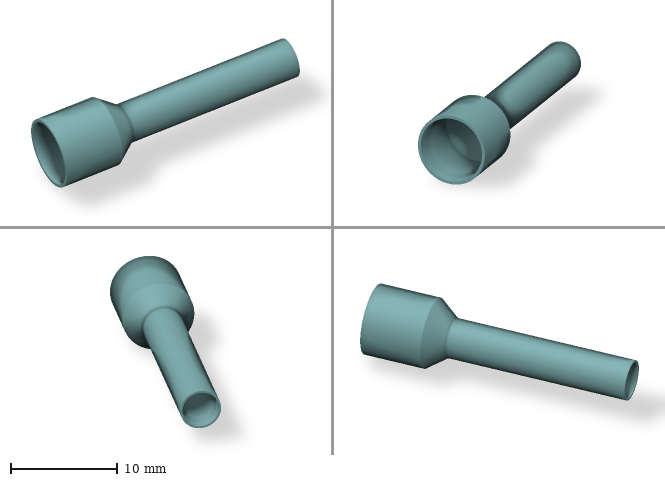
import cadquery as cq

total_length = 26.0
collar_length = 6.0
cone_length = 2.0

collar_diameter = 6.9
collar_bore_diameter = 6.3
tube_diameter = 3.9
tube_bore_diameter = 3.5

cone_start = collar_length
cone_end = collar_length + cone_length


def stepped_body(wide_diameter, narrow_diameter):
    """Solid of revolution about Y: wide cylinder, cone, then narrow cylinder."""
    wide_radius = wide_diameter / 2
    narrow_radius = narrow_diameter / 2
    profile = (
        cq.Workplane("XY")
        .moveTo(0, 0)
        .lineTo(wide_radius, 0)
        .lineTo(wide_radius, cone_start)
        .lineTo(narrow_radius, cone_end)
        .lineTo(narrow_radius, total_length)
        .lineTo(0, total_length)
        .close()
    )
    return profile.revolve(360, (0, 0, 0), (0, 1, 0))


outside = stepped_body(collar_diameter, tube_diameter)
bore = stepped_body(collar_bore_diameter, tube_bore_diameter)
result = outside.cut(bore)